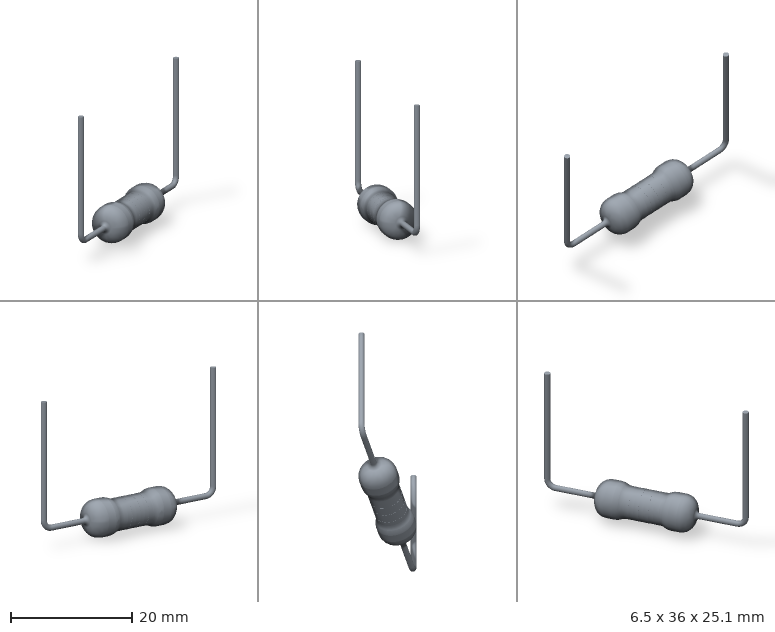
import cadquery as cq
import math

overall_length = 36.0
overall_height = 25.1

lead_diameter = 1.0
bend_radius = 1.5

cap_diameter = 6.5
band_diameter = 5.55
waist_diameter = 5.5
stripe_width = 0.85
stripe_count = 7

cap_inner_end = 4.95
cap_outer_end = 6.45
dome_radius = 2.25
neck_radius = 0.7

lead_radius = lead_diameter / 2
cap_radius = cap_diameter / 2
band_radius = band_diameter / 2
waist_radius = waist_diameter / 2
waist_half = stripe_width * stripe_count / 2
lead_offset = overall_length / 2 - lead_radius
lead_top = overall_height - cap_radius

dome_center_r = cap_radius - dome_radius
neck_center_r = lead_radius + neck_radius
center_distance = dome_radius + neck_radius
tangent_angle = math.asin((neck_center_r - dome_center_r) / center_distance)
neck_end = cap_outer_end + center_distance * math.cos(tangent_angle)


def arc_point(center_r, center_y, radius, angle):
    """Point (radial, axial) on a circle, with the angle measured from the radial direction."""
    return (center_r + radius * math.cos(angle), center_y + radius * math.sin(angle))


def end_cap():
    """Revolve the +Y cap together with the outermost raised band beside it."""
    dome_end_angle = math.pi / 2 - tangent_angle
    dome_middle = arc_point(dome_center_r, cap_outer_end, dome_radius, dome_end_angle / 2)
    dome_end = arc_point(dome_center_r, cap_outer_end, dome_radius, dome_end_angle)
    neck_middle_angle = math.pi + (math.pi / 2 - tangent_angle) / 2
    neck_middle = arc_point(neck_center_r, neck_end, neck_radius, neck_middle_angle)
    flare_middle = ((band_radius + cap_radius) / 2, (waist_half + cap_inner_end) / 2)
    profile = (
        cq.Workplane("XY")
        .moveTo(0, waist_half - stripe_width)
        .lineTo(band_radius, waist_half - stripe_width)
        .lineTo(band_radius, waist_half)
        .tangentArcPoint(flare_middle, relative=False)
        .tangentArcPoint((cap_radius, cap_inner_end), relative=False)
        .lineTo(cap_radius, cap_outer_end)
        .threePointArc(dome_middle, dome_end)
        .threePointArc(neck_middle, (lead_radius, neck_end))
        .lineTo(0, neck_end)
        .close()
    )
    return profile.revolve(360, (0, 0, 0), (0, 1, 0))


def cylinder_along_y(radius, start_y, length):
    """Solid cylinder on the body axis, reaching from start_y toward +Y."""
    return cq.Workplane("XZ", origin=(0, start_y, 0)).circle(radius).extrude(-length)


def leads():
    """One wire through the body, bent up at both ends."""
    bend_start = lead_offset - bend_radius
    path = (
        cq.Workplane("YZ")
        .moveTo(-lead_offset, lead_top)
        .lineTo(-lead_offset, bend_radius)
        .radiusArc((-bend_start, 0), -bend_radius)
        .lineTo(bend_start, 0)
        .radiusArc((lead_offset, bend_radius), -bend_radius)
        .lineTo(lead_offset, lead_top)
    )
    section = cq.Workplane("XY", origin=(0, -lead_offset, lead_top)).circle(lead_radius)
    return section.sweep(path)


cap = end_cap()
waist = cylinder_along_y(waist_radius, -waist_half, 2 * waist_half)
body = waist.union(cap).union(cap.mirror("XZ"))

for stripe in range(2, stripe_count - 1, 2):
    band_start = -waist_half + stripe * stripe_width
    body = body.union(cylinder_along_y(band_radius, band_start, stripe_width))

result = body.union(leads())